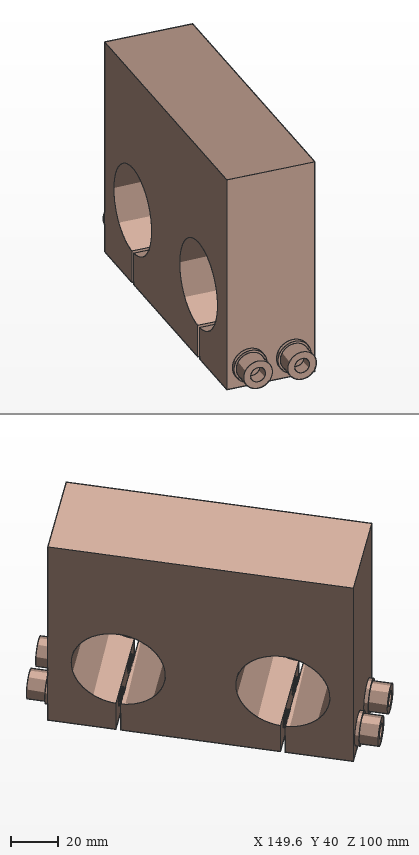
import cadquery as cq

BLOCK_LENGTH = 130.0
BLOCK_WIDTH = 40.0
BLOCK_HEIGHT = 100.0

BORE_DIAMETER = 40.0
BORE_SPACING = 70.0
BORE_HEIGHT = 35.0
SLOT_WIDTH = 2.0

SCREW_SPACING = 20.0
SCREW_HEIGHT = 10.0
SCREW_DIAMETER = 8.0
SCREW_LENGTH = 45.0
HEAD_DIAMETER = 13.0
HEAD_LENGTH = 8.0
SOCKET_DIAMETER = 6.7
SOCKET_DEPTH = 6.0

THREAD_PITCH = 1.25
THREAD_ROOT_DIAMETER = 6.7
PLAIN_SHANK_LENGTH = 17.9
CREST_FLAT = THREAD_PITCH / 8
RIDGE_FOOT = THREAD_PITCH * 3 / 4
RIDGE_EMBEDMENT = 0.1

WASHER_DIAMETER = 15.0
WASHER_THICKNESS = 1.8
CLEARANCE_DIAMETER = 8.4
THREADED_END_HOLE_DIAMETER = 8.13

SEAT_X = BLOCK_LENGTH / 2 + WASHER_THICKNESS
SCREW_YS = (-SCREW_SPACING / 2, SCREW_SPACING / 2)
BORE_XS = (-BORE_SPACING / 2, BORE_SPACING / 2)
END_TURNS = (0, 180)


def rod(diameter, start_x, end_x):
    """Cylinder along X at the origin of Y and Z."""
    return cq.Workplane("YZ", origin=(start_x, 0, 0)).circle(diameter / 2).extrude(end_x - start_x)


def place(body, y, turn):
    """Move a body from the X axis to a screw position on one end of the block."""
    return body.translate((0, y, SCREW_HEIGHT)).rotate((0, 0, 0), (0, 0, 1), turn)


def make_threaded_shank():
    """Shank standing on Z = 0: a plain length, then a core carrying the helical ridge."""
    crest_radius = SCREW_DIAMETER / 2
    root_radius = THREAD_ROOT_DIAMETER / 2
    foot_radius = root_radius - RIDGE_EMBEDMENT
    ridge_start = PLAIN_SHANK_LENGTH + THREAD_PITCH / 2
    ridge_length = SCREW_LENGTH - PLAIN_SHANK_LENGTH - THREAD_PITCH
    helix = cq.Wire.makeHelix(THREAD_PITCH, ridge_length, root_radius, center=cq.Vector(0, 0, ridge_start))
    ridge = (
        cq.Workplane("XZ")
        .moveTo(foot_radius, ridge_start - RIDGE_FOOT / 2)
        .lineTo(crest_radius, ridge_start - CREST_FLAT / 2)
        .lineTo(crest_radius, ridge_start + CREST_FLAT / 2)
        .lineTo(foot_radius, ridge_start + RIDGE_FOOT / 2)
        .close()
        .sweep(cq.Workplane(helix), isFrenet=True)
    )
    plain_shank = cq.Workplane("XY").circle(crest_radius).extrude(PLAIN_SHANK_LENGTH)
    core = cq.Workplane("XY").circle(root_radius).extrude(SCREW_LENGTH)
    return core.union(ridge).union(plain_shank)


def make_screw():
    """Screw along +X with its head seated at the -X end of the block."""
    head = rod(HEAD_DIAMETER, -SEAT_X - HEAD_LENGTH, -SEAT_X)
    socket = rod(SOCKET_DIAMETER, -SEAT_X - HEAD_LENGTH, -SEAT_X - HEAD_LENGTH + SOCKET_DEPTH)
    shank = make_threaded_shank().rotate((0, 0, 0), (0, 1, 0), 90).translate((-SEAT_X, 0, 0))
    return head.cut(socket).union(shank)


def make_washer():
    """Flat washer lying on the -X end face."""
    outer = rod(WASHER_DIAMETER, -SEAT_X, -BLOCK_LENGTH / 2)
    return outer.cut(rod(CLEARANCE_DIAMETER, -SEAT_X, -BLOCK_LENGTH / 2))


def make_block():
    block = cq.Workplane("XY").box(
        BLOCK_LENGTH, BLOCK_WIDTH, BLOCK_HEIGHT, centered=(True, True, False)
    )
    for bore_x in BORE_XS:
        bore = (
            cq.Workplane("XZ", origin=(bore_x, 0, BORE_HEIGHT))
            .circle(BORE_DIAMETER / 2)
            .extrude(BLOCK_WIDTH / 2, both=True)
        )
        slot = cq.Workplane("XY", origin=(bore_x, 0, 0)).box(
            SLOT_WIDTH, BLOCK_WIDTH, BORE_HEIGHT, centered=(True, True, False)
        )
        block = block.cut(bore).cut(slot)

    clearance_hole = rod(CLEARANCE_DIAMETER, -BLOCK_LENGTH / 2, -BORE_SPACING / 2)
    threaded_end_hole = rod(THREADED_END_HOLE_DIAMETER, -BORE_SPACING / 2, -SEAT_X + SCREW_LENGTH)
    screw_hole = clearance_hole.union(threaded_end_hole)
    for turn in END_TURNS:
        for y in SCREW_YS:
            block = block.cut(place(screw_hole, y, turn))
    return block


block = make_block()
screw = make_screw()
washer = make_washer()
screws = []
washers = []
for end_turn in END_TURNS:
    for screw_y in SCREW_YS:
        screws.append(place(screw, screw_y, end_turn).val())
        washers.append(place(washer, screw_y, end_turn).val())

result = cq.Compound.makeCompound([block.val(), *screws, *washers])